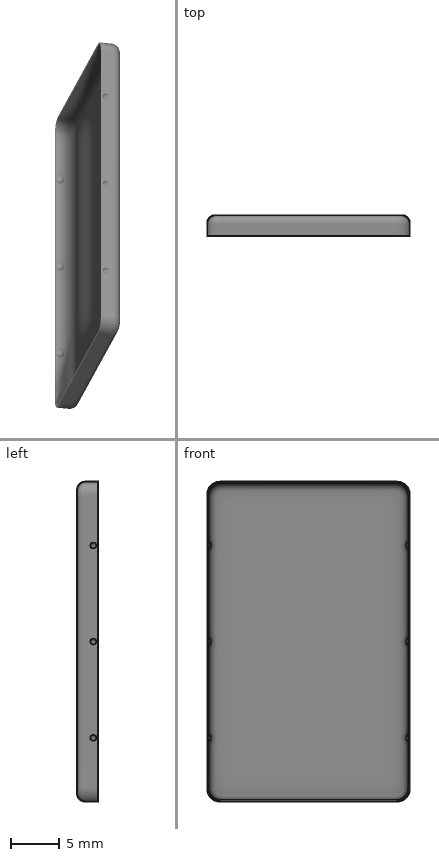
import cadquery as cq
import math

width = 21.1
depth = 2.2
height = 33.3
wall = 0.2
corner_radius = 1.4
back_fillet = 0.9
floor_fillet = back_fillet - wall

detent_pitch = 10.0
detent_rows = (-1, 0, 1)
detent_setback = 0.5
dimple_radius = 0.3
detent_depth = 0.19
dimple_ball_radius = (dimple_radius**2 + detent_depth**2) / (2 * detent_depth)
bump_ball_radius = dimple_ball_radius + wall


def rounded_block(inset, edge_fillet):
    """Rounded plate inset from the outer envelope, with its +Y rim filleted."""
    plate = (
        cq.Workplane("XZ")
        .rect(width - 2 * inset, height - 2 * inset)
        .extrude(-(depth - inset))
        .edges("|Y")
        .fillet(corner_radius - inset)
    )
    return plate.faces(">Y").edges().fillet(edge_fillet)


def ball_cap(ball_radius, direction):
    """Cap of a ball, flat on X = 0 and rising by the detent depth along X in the given direction."""
    center_offset = ball_radius - detent_depth
    rim_radius = math.sqrt(ball_radius**2 - center_offset**2)
    mid_angle = math.acos(center_offset / ball_radius) / 2
    mid_height = ball_radius * math.cos(mid_angle) - center_offset
    mid_radius = ball_radius * math.sin(mid_angle)
    return (
        cq.Workplane("XY")
        .moveTo(0, rim_radius)
        .lineTo(0, 0)
        .lineTo(direction * detent_depth, 0)
        .threePointArc((direction * mid_height, mid_radius), (0, rim_radius))
        .close()
        .revolve(360, (0, 0), (1, 0))
    )


def add_detent(body, side, row):
    """Press one detent into the wall on the given X side."""
    outer_face = side * width / 2
    inner_face = outer_face - side * wall
    z = row * detent_pitch
    bump = ball_cap(bump_ball_radius, -side).translate((inner_face, detent_setback, z))
    dimple = ball_cap(dimple_ball_radius, -side).translate((outer_face, detent_setback, z))
    return body.union(bump).cut(dimple)


tray = rounded_block(0, back_fillet).cut(rounded_block(wall, floor_fillet))
for side in (-1, 1):
    for row in detent_rows:
        tray = add_detent(tray, side, row)

result = tray